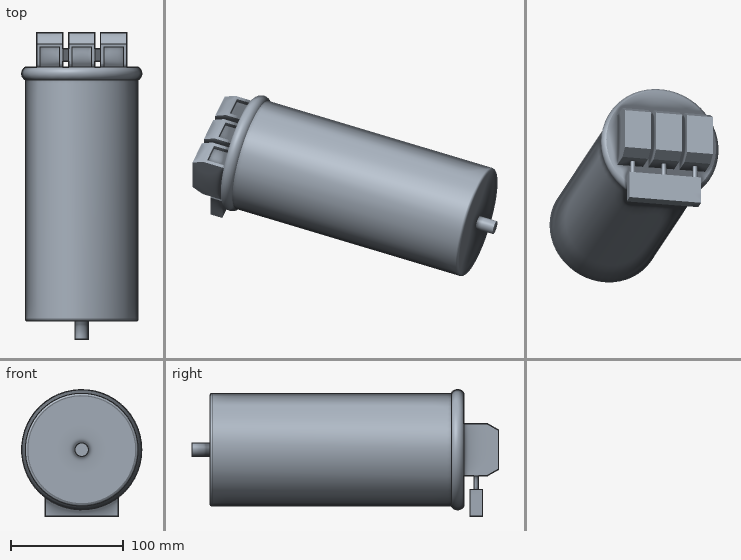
import cadquery as cq

overall_length = 272.0

can_radius = 50.0
can_length = 225.2
base_fillet = 2.2

rim_radius = 53.3
rim_width = 11.2

stud_diameter = 12.0
stud_length = 16.0

block_count = 3
block_pitch = 28.3
block_width = 23.5
block_height = 46.2
block_length = overall_length - stud_length - can_length
bevel_length = 10.0
bevel_drop = 5.7

pocket_width = 17.5
pocket_length = 18.0
pocket_depth = 4.4

bar_width = 65.0
bar_thickness = 11.5
bar_height = 24.0
bar_bottom = -59.0
bar_offset = 11.0
pin_diameter = 4.0

block_centers = [(i - (block_count - 1) / 2) * block_pitch for i in range(block_count)]
bar_y = can_length + bar_offset


def make_can():
    """Can with its bulging rim, turned about the Y axis, and rounded base edge."""
    profile = (
        cq.Workplane("XY")
        .lineTo(can_radius, 0)
        .lineTo(can_radius, can_length - rim_width)
        .threePointArc((rim_radius, can_length - rim_width / 2), (can_radius, can_length))
        .lineTo(0, can_length)
        .close()
    )
    can = profile.revolve(360, (0, 0, 0), (0, 1, 0))
    return can.faces("<Y").edges().fillet(base_fillet)


def make_stud():
    """Round stud running from the can base toward -Y."""
    return cq.Workplane("XZ").circle(stud_diameter / 2).extrude(stud_length)


def make_block(center_x):
    """Terminal block with beveled outer corners and a pocket in its top."""
    half_height = block_height / 2
    outer_y = can_length + block_length
    block = (
        cq.Workplane("YZ", origin=(center_x, 0, 0))
        .moveTo(can_length, -half_height)
        .lineTo(outer_y - bevel_length, -half_height)
        .lineTo(outer_y, -half_height + bevel_drop)
        .lineTo(outer_y, half_height - bevel_drop)
        .lineTo(outer_y - bevel_length, half_height)
        .lineTo(can_length, half_height)
        .close()
        .extrude(block_width / 2, both=True)
    )
    pocket = cq.Workplane("XY").box(
        pocket_width, pocket_length, pocket_depth, centered=(True, False, False)
    )
    return block.cut(pocket.translate((center_x, can_length, half_height - pocket_depth)))


def make_bar():
    """Cross bar below the terminal blocks."""
    bar = cq.Workplane("XY").box(bar_width, bar_thickness, bar_height, centered=(True, True, False))
    return bar.translate((0, bar_y, bar_bottom))


def make_pin(center_x):
    """Round pin joining the bar to the underside of a block."""
    bar_top = bar_bottom + bar_height
    pin_length = -block_height / 2 - bar_top
    pin = cq.Workplane("XY", origin=(center_x, bar_y, bar_top))
    return pin.circle(pin_diameter / 2).extrude(pin_length)


result = make_can().union(make_stud()).union(make_bar())
for x in block_centers:
    result = result.union(make_block(x)).union(make_pin(x))